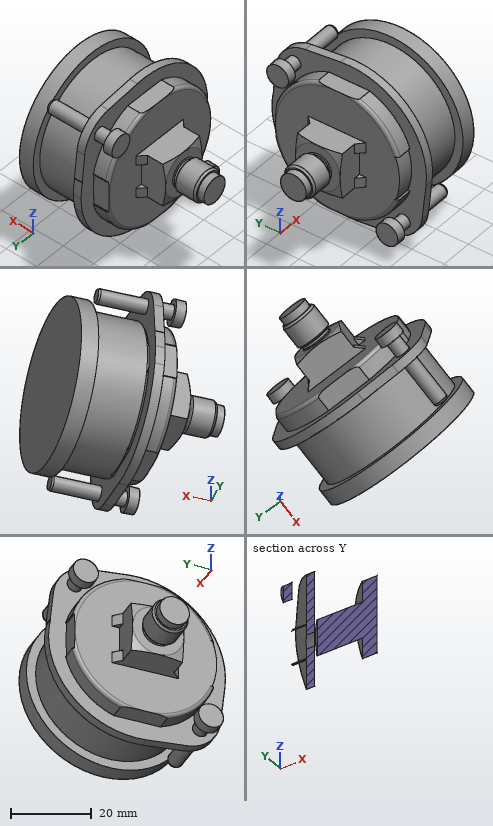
import cadquery as cq
import math

TIP_STEP_X = 2.1
THREAD_START_X = 2.8
THREAD_END_X = 8.6
RUNOUT_X = 8.85
NECK_START_X = 9.15
NECK_END_X = 9.78
BLOCK_X = 10.05
GUSSET_X = 16.0
CAP_X = 18.0
FLANGE_X = 23.0
FLANGE_END_X = 25.55
RELIEF_END_X = 26.2
RIM_X = 39.95
REAR_X = 44.5

TIP_RADIUS = 8.0 / 2
THREAD_RADIUS = 9.75 / 2
THREAD_BEVEL_RADIUS = 4.4
RUNOUT_RADIUS = 4.45
NECK_FLARE_RADIUS = 4.25
BLOCK_SIDE = 13.9
BLOCK_BEVEL_DEPTH = 0.9
GUSSET_REACH = 2.0
GUSSET_WIDTH = 3.05

BODY_RADIUS = 40.0 / 2
RIM_RADIUS = 45.0 / 2
CAP_FILLET = 1.0
SEAT_RADIUS = 38.7 / 2
CAP_FLAT_HEIGHT = 19.0
KEY_HALF_WIDTH = 6.7
SLOT_HALF_WIDTH = 5.0
CONE_START_Y = 5.18
SLOT_FLAT_Y = 19.05

FLANGE_RADIUS = 23.95
EAR_RADIUS = 10.15
EAR_CENTER_DISTANCE = 17.7

SCREW_OFFSET = 16.95
HEAD_END_X = 18.75
HEAD_RADIUS = 6.95 / 2
HEAD_FRONT_RADIUS = 6.75 / 2
SHANK_RADIUS = 4.0 / 2
SHANK_CHAMFER = 0.25
SHANK_CHAMFER_LENGTH = 0.55
SHANK_END_X = 38.6


def revolve(profile):
    """Revolve an (x, radius) workplane profile about the X axis."""
    return profile.close().revolve(360, (0, 0, 0), (1, 0, 0))


def disc(start_x, end_x, radius):
    return cq.Workplane("YZ").workplane(offset=start_x).circle(radius).extrude(end_x - start_x)


def box(x_range, y_range, z_range):
    size = [high - low for low, high in (x_range, y_range, z_range)]
    corner = (x_range[0], y_range[0], z_range[0])
    return cq.Workplane("XY").box(*size, centered=False).translate(corner)


def make_connector():
    profile = (
        cq.Workplane("XY")
        .lineTo(0, TIP_RADIUS)
        .lineTo(TIP_STEP_X, TIP_RADIUS)
        .lineTo(TIP_STEP_X, THREAD_BEVEL_RADIUS)
        .lineTo(THREAD_START_X, THREAD_RADIUS)
        .lineTo(THREAD_END_X, THREAD_RADIUS)
        .lineTo(RUNOUT_X, RUNOUT_RADIUS)
        .lineTo(NECK_START_X, TIP_RADIUS)
        .lineTo(NECK_END_X, TIP_RADIUS)
        .lineTo(BLOCK_X, NECK_FLARE_RADIUS)
        .lineTo(BLOCK_X, 0)
    )
    return revolve(profile)


def make_block():
    """Square block whose front corners are turned to a shallow cone."""
    half = BLOCK_SIDE / 2
    corner_radius = half * math.sqrt(2)
    turned = revolve(
        cq.Workplane("XY")
        .moveTo(BLOCK_X, 0)
        .lineTo(BLOCK_X, half)
        .lineTo(BLOCK_X + BLOCK_BEVEL_DEPTH, corner_radius)
        .lineTo(CAP_X, corner_radius)
        .lineTo(CAP_X, 0)
    )
    block = box((BLOCK_X, CAP_X), (-half, half), (-half, half)).intersect(turned)
    for side in (-1, 1):
        for bottom in (-half, half - GUSSET_WIDTH):
            gusset = (
                cq.Workplane("XY")
                .workplane(offset=bottom)
                .moveTo(GUSSET_X, 0)
                .lineTo(GUSSET_X, side * half)
                .lineTo(CAP_X, side * (half + GUSSET_REACH))
                .lineTo(CAP_X, 0)
                .close()
                .extrude(GUSSET_WIDTH)
            )
            block = block.union(gusset)
    return block


def make_body():
    body = disc(CAP_X, RIM_X, BODY_RADIUS).faces("<X").edges().fillet(CAP_FILLET)
    relief_x = (CAP_X, RELIEF_END_X)
    full_width = (-BODY_RADIUS, BODY_RADIUS)

    body = body.cut(box(relief_x, full_width, (CAP_FLAT_HEIGHT, BODY_RADIUS)))
    body = body.cut(box(relief_x, full_width, (-BODY_RADIUS, -CAP_FLAT_HEIGHT)))

    key_z = (-KEY_HALF_WIDTH, KEY_HALF_WIDTH)
    key_zone = box(relief_x, (-BODY_RADIUS, 0), key_z)
    seat = revolve(
        cq.Workplane("XY")
        .moveTo(CAP_X, 0)
        .lineTo(CAP_X, SEAT_RADIUS)
        .lineTo(FLANGE_END_X, SEAT_RADIUS)
        .lineTo(RELIEF_END_X, BODY_RADIUS)
        .lineTo(RELIEF_END_X, 0)
    )
    body = body.cut(key_zone).union(seat.intersect(key_zone))

    cone_x = (FLANGE_END_X, RELIEF_END_X)
    cone_zone = box(cone_x, (CONE_START_Y, BODY_RADIUS), full_width)
    body = body.cut(cone_zone.cut(seat))
    return body.union(disc(RIM_X, REAR_X, RIM_RADIUS))


def make_flange():
    """Plate outlined by the disc, both ears and the tangent lines joining them."""
    diagonal = math.radians(45)
    half_spread = math.acos((FLANGE_RADIUS - EAR_RADIUS) / EAR_CENTER_DISTANCE)

    def disc_point(angle):
        return FLANGE_RADIUS * math.cos(angle), FLANGE_RADIUS * math.sin(angle)

    def ear_point(angle, ear_angle):
        y = EAR_CENTER_DISTANCE * math.cos(ear_angle) + EAR_RADIUS * math.cos(angle)
        z = EAR_CENTER_DISTANCE * math.sin(ear_angle) + EAR_RADIUS * math.sin(angle)
        return y, z

    outline = cq.Workplane("YZ").workplane(offset=FLANGE_X)
    outline = outline.moveTo(*disc_point(diagonal - half_spread))
    for ear_angle in (diagonal, diagonal + math.pi):
        start = ear_angle - half_spread
        end = ear_angle + half_spread
        outline = (
            outline.lineTo(*ear_point(start, ear_angle))
            .threePointArc(ear_point(ear_angle, ear_angle), ear_point(end, ear_angle))
            .lineTo(*disc_point(end))
            .threePointArc(disc_point(ear_angle + math.pi / 2), disc_point(start + math.pi))
        )
    return outline.close().extrude(FLANGE_END_X - FLANGE_X)


def cut_side_slot(part):
    """Flat on the +Y side of the cap, leaving a thin gap inside the flange bore."""
    slot_z = (-SLOT_HALF_WIDTH, SLOT_HALF_WIDTH)
    slot = box((CAP_X, RELIEF_END_X), (SLOT_FLAT_Y, FLANGE_RADIUS), slot_z)
    flange_zone = disc(FLANGE_X, FLANGE_END_X, FLANGE_RADIUS)
    bore = disc(FLANGE_X, FLANGE_END_X, SEAT_RADIUS)
    return part.cut(slot.cut(flange_zone.cut(bore)))


def make_screw():
    profile = (
        cq.Workplane("XY")
        .moveTo(GUSSET_X, 0)
        .lineTo(GUSSET_X, HEAD_FRONT_RADIUS)
        .lineTo(HEAD_END_X, HEAD_RADIUS)
        .lineTo(HEAD_END_X, SHANK_RADIUS)
        .lineTo(SHANK_END_X - SHANK_CHAMFER_LENGTH, SHANK_RADIUS)
        .lineTo(SHANK_END_X, SHANK_RADIUS - SHANK_CHAMFER)
        .lineTo(SHANK_END_X, 0)
    )
    return revolve(profile)


result = make_body().union(make_flange())
result = cut_side_slot(result)
result = result.union(make_block()).union(make_connector())
for side in (-1, 1):
    result = result.union(make_screw().translate((0, side * SCREW_OFFSET, side * SCREW_OFFSET)))